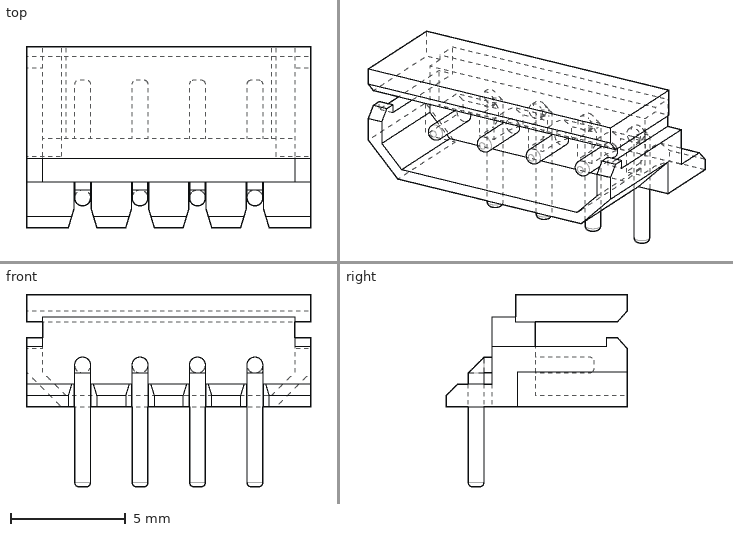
import cadquery as cq
import math


width = 12.4
depth = 7.9
height = 4.9
wall = 0.7
floor_thickness = 0.5
inner_half_width = width / 2 - wall

wall_front = 2.0
wall_back = 3.89
ridge_top = 3.92
plate_front = 3.03

slot_bottom = 2.64
slot_top = 3.71
hook_top = 3.01
hook_start = 6.98
mouth_chamfer_y = 0.42
mouth_chamfer_z = 0.47

edge_slope = 1.51
edge_slope_start = 3.11
inner_slope = edge_slope - floor_thickness

foot_height = 0.99
foot_chamfer = 0.5
notch_width = 0.75
notch_mouth_width = 1.24
notch_taper_length = 0.82

pin_count = 4
pin_pitch = 2.5
pin_diameter = 0.7
pin_rounding = 0.2
pin_axis_y = 1.3
pin_axis_z = 1.82
total_height = 8.4
pin_bottom = height - total_height
pin_back = 6.45
pin_radius = pin_diameter / 2
elbow_room = 2 * pin_diameter
pin_places = [(i - (pin_count - 1) / 2) * pin_pitch for i in range(pin_count)]


def block(x_half, y_start, y_end, z_start, z_end):
    """A box centred on X = 0."""
    size = (2 * x_half, y_end - y_start, z_end - z_start)
    return cq.Workplane("XY").box(*size, centered=(True, False, False)).translate((0, y_start, z_start))


def along_x(points, x_half):
    """A prism of a (Y, Z) outline, centred on X = 0."""
    return cq.Workplane("YZ").polyline(points).close().extrude(x_half, both=True)


def along_y(points, y_start, y_end):
    """A prism of an (X, Z) outline."""
    prism = cq.Workplane("XZ").polyline(points).close().extrude(-(y_end - y_start))
    return prism.translate((0, y_start, 0))


def make_base():
    """Lower part with the feet in front and the hooks at the mouth."""
    return along_x(
        [
            (0, 0),
            (depth, 0),
            (depth, hook_top - mouth_chamfer_z),
            (depth - mouth_chamfer_y, hook_top),
            (hook_start, hook_top),
            (hook_start, slot_bottom),
            (wall_front, slot_bottom),
            (wall_front, foot_height),
            (foot_chamfer, foot_height),
            (0, foot_height - foot_chamfer),
        ],
        width / 2,
    )


def make_top_plate():
    return along_x(
        [
            (plate_front, slot_top),
            (depth - mouth_chamfer_y, slot_top),
            (depth, slot_top + mouth_chamfer_z),
            (depth, height),
            (plate_front, height),
        ],
        width / 2,
    )


def make_back_wall():
    """Joins the base to the top plate; its front part ends in the ridge."""
    return block(inner_half_width, wall_front, wall_back, foot_height, ridge_top)


def make_cavity():
    """Room for the plug, with sloped lower corners that follow the sloped outer edges."""
    floor_half_width = inner_half_width - inner_slope
    return along_y(
        [
            (-floor_half_width, floor_thickness),
            (floor_half_width, floor_thickness),
            (inner_half_width, floor_thickness + inner_slope),
            (inner_half_width, slot_top),
            (-inner_half_width, slot_top),
            (-inner_half_width, floor_thickness + inner_slope),
        ],
        wall_back,
        depth,
    )


def make_edge_slope(side):
    """Wedge taken off one lower edge; side is -1 or 1."""
    edge = side * width / 2
    corner = [(edge, 0), (edge, edge_slope), (edge - side * edge_slope, 0)]
    return along_y(corner, edge_slope_start, depth)


def make_notch(x):
    """Gap between two feet, widening towards the front."""
    narrow = notch_width / 2
    wide = notch_mouth_width / 2
    outline = [
        (-wide, 0),
        (wide, 0),
        (narrow, notch_taper_length),
        (narrow, wall_front),
        (-narrow, wall_front),
        (-narrow, notch_taper_length),
    ]
    return cq.Workplane("XY").polyline(outline).close().extrude(foot_height).translate((x, 0, 0))


def make_pin(x):
    """Pin with a level leg through the back wall, a 45 degree elbow and a leg pointing down."""
    level_start = pin_axis_y + pin_radius
    upright_top = pin_axis_z - pin_radius

    level = cq.Workplane("XZ").circle(pin_radius).extrude(-(pin_back - level_start))
    level = level.faces(">Y").edges().fillet(pin_rounding).translate((0, level_start, pin_axis_z))

    upright = cq.Workplane("XY").circle(pin_radius).extrude(upright_top - pin_bottom)
    upright = upright.faces("<Z").edges().fillet(pin_rounding).translate((0, pin_axis_y, pin_bottom))

    bar_start = (0, pin_axis_y - pin_diameter, upright_top - pin_diameter)
    slanted = cq.Plane(origin=bar_start, xDir=(0, 1, -1), normal=(0, 1, 1))
    bar = cq.Workplane(slanted).ellipse(pin_radius / math.sqrt(2), pin_radius).extrude(2 * elbow_room)
    corner = block(
        pin_diameter,
        level_start - elbow_room,
        level_start,
        upright_top,
        upright_top + elbow_room,
    )
    elbow = bar.intersect(corner)

    return level.union(elbow).union(upright).translate((x, 0, 0))


result = make_base().union(make_top_plate()).union(make_back_wall()).cut(make_cavity())
for side in (-1, 1):
    result = result.cut(make_edge_slope(side))
for x in pin_places:
    result = result.cut(make_notch(x)).union(make_pin(x))